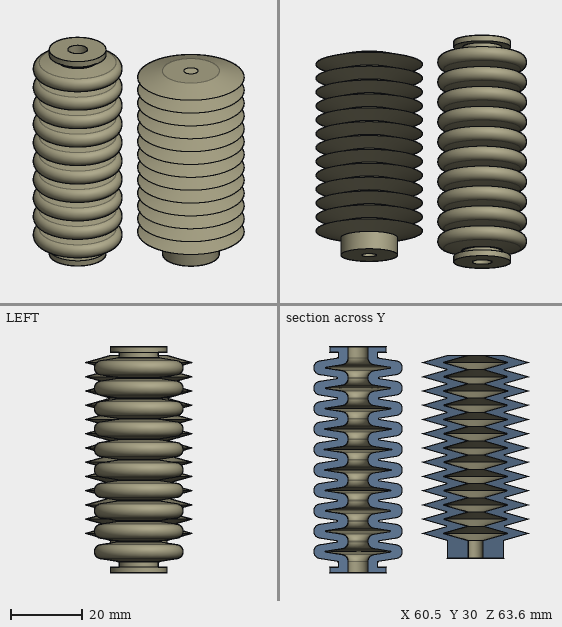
import cadquery as cq
import math

axis_spacing = 33.0
round_base_z = -4.1
pleated_base_z = 0.0

round_height = 63.6
flange_radius = 8.0
flange_thickness = 1.65
neck_radius = 5.5
neck_length = 1.45
round_bore_radius = 2.75
round_count = 10
round_crest_radius = 12.5
crest_arc_radius = 2.0
root_radius = 5.8
root_land = 0.2
groove_lip_radius = 2.0

pleat_count = 13
pleat_pitch = 4.0
pleat_crest_radius = 15.0
pleat_root_radius = 8.0
pleat_radial_wall = 6.0
collar_height = 5.0

convolutions_z = flange_thickness + neck_length
top_neck_z = round_height - convolutions_z
top_flange_z = round_height - flange_thickness
convolutions_height = top_neck_z - convolutions_z
convolution_pitch = convolutions_height / round_count
half_convolution = (convolution_pitch - root_land) / 2
crest_heights = [convolutions_z + (index + 0.5) * convolution_pitch for index in range(round_count)]

arc_center_radius = round_crest_radius - crest_arc_radius
root_to_center = arc_center_radius - root_radius
center_distance = math.hypot(root_to_center, half_convolution)
flank_angle = math.atan2(half_convolution, root_to_center) - math.asin(crest_arc_radius / center_distance)


def revolve_about_z(profile):
    """Turn a closed radius-height profile into a body around the Z axis."""
    return profile.close().revolve(360, (0, 0), (0, 1))


def make_round_envelope():
    """Outside of the round bellows, without its cavity."""
    tangent_radius = arc_center_radius + crest_arc_radius * math.sin(flank_angle)
    tangent_offset = crest_arc_radius * math.cos(flank_angle)

    profile = (
        cq.Workplane("XZ")
        .lineTo(flange_radius, 0)
        .lineTo(flange_radius, flange_thickness)
        .lineTo(neck_radius, flange_thickness)
        .lineTo(neck_radius, convolutions_z)
        .lineTo(root_radius, convolutions_z)
    )
    for crest_z in crest_heights:
        profile = (
            profile.lineTo(root_radius, crest_z - half_convolution)
            .lineTo(tangent_radius, crest_z - tangent_offset)
            .threePointArc((round_crest_radius, crest_z), (tangent_radius, crest_z + tangent_offset))
            .lineTo(root_radius, crest_z + half_convolution)
        )
    profile = (
        profile.lineTo(root_radius, top_neck_z)
        .lineTo(neck_radius, top_neck_z)
        .lineTo(neck_radius, top_flange_z)
        .lineTo(flange_radius, top_flange_z)
        .lineTo(flange_radius, round_height)
        .lineTo(0, round_height)
    )
    return revolve_about_z(profile)


def make_round_cavity():
    """Bore with one inner groove behind each convolution."""
    sweep = math.pi / 2 - flank_angle
    lip_center_radius = round_bore_radius + groove_lip_radius
    middle_radius = lip_center_radius - groove_lip_radius * math.cos(sweep / 2)
    middle_rise = groove_lip_radius * math.sin(sweep / 2)
    end_radius = lip_center_radius - groove_lip_radius * math.cos(sweep)
    end_rise = groove_lip_radius * math.sin(sweep)
    tip_radius = end_radius + (half_convolution - end_rise) / math.tan(flank_angle)

    profile = cq.Workplane("XZ").lineTo(round_bore_radius, 0)
    for crest_z in crest_heights:
        lower_root_z = crest_z - half_convolution
        upper_root_z = crest_z + half_convolution
        profile = (
            profile.lineTo(round_bore_radius, lower_root_z)
            .threePointArc((middle_radius, lower_root_z + middle_rise), (end_radius, lower_root_z + end_rise))
            .lineTo(tip_radius, crest_z)
            .lineTo(end_radius, upper_root_z - end_rise)
            .threePointArc((middle_radius, upper_root_z - middle_rise), (round_bore_radius, upper_root_z))
        )
    profile = profile.lineTo(round_bore_radius, round_height).lineTo(0, round_height)
    return revolve_about_z(profile)


def make_pleated_solid(root_radius, crest_radius):
    """Collar cylinder and V-shaped pleats that all share one root radius."""
    profile = cq.Workplane("XZ").lineTo(root_radius, 0).lineTo(root_radius, collar_height)
    for index in range(pleat_count):
        pleat_z = collar_height + index * pleat_pitch
        profile = (
            profile.lineTo(crest_radius, pleat_z + pleat_pitch / 2)
            .lineTo(root_radius, pleat_z + pleat_pitch)
        )
    profile = profile.lineTo(0, collar_height + pleat_count * pleat_pitch)
    return revolve_about_z(profile)


round_bellows = make_round_envelope().cut(make_round_cavity())
round_bellows = round_bellows.translate((0, 0, round_base_z))

pleated_outside = make_pleated_solid(pleat_root_radius, pleat_crest_radius)
pleated_inside = make_pleated_solid(
    pleat_root_radius - pleat_radial_wall,
    pleat_crest_radius - pleat_radial_wall,
)
pleated_bellows = pleated_outside.cut(pleated_inside).translate((axis_spacing, 0, pleated_base_z))

result = cq.Compound.makeCompound([round_bellows.solids().val(), pleated_bellows.solids().val()])